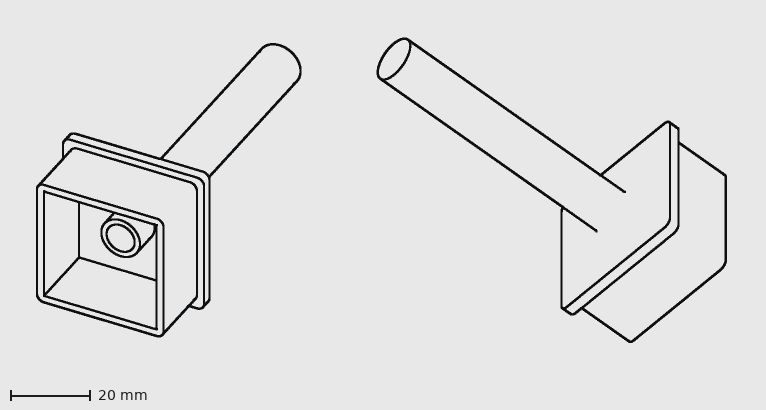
import cadquery as cq

total_length = 97.0
flange_side = 40.0
flange_thickness = 3.0
flange_overhang = 2.0
corner_radius = 2.0
socket_length = 18.0
wall_thickness = 2.0
cavity_depth = 19.0
stem_diameter = 12.0
root_fillet = 2.0
boss_diameter = 11.0
boss_height = 8.0
pin_diameter = 8.0

socket_side = flange_side - 2 * flange_overhang
cavity_side = socket_side - 2 * wall_thickness
flange_back = socket_length + flange_thickness
stem_length = total_length - flange_back
boss_face = cavity_depth - boss_height
pin_length = flange_back - boss_face


def square_block(side, start, length):
    """Square block centred on the Y axis, running from start toward +Y."""
    return cq.Workplane("XZ", origin=(0, start, 0)).rect(side, side).extrude(-length)


def cylinder(diameter, start, length):
    """Cylinder on the Y axis, running from start toward +Y."""
    return cq.Workplane("XZ", origin=(0, start, 0)).circle(diameter / 2).extrude(-length)


def make_root():
    """Concave flare that blends the stem into the back of the flange."""
    stem_radius = stem_diameter / 2
    flare_end = flange_back + root_fillet
    return (
        cq.Workplane("XY")
        .moveTo(0, flange_back)
        .lineTo(stem_radius + root_fillet, flange_back)
        .radiusArc((stem_radius, flare_end), root_fillet)
        .lineTo(0, flare_end)
        .close()
        .revolve(360, (0, 0, 0), (0, 1, 0))
    )


def make_pin():
    """Plain pin, flush with the boss face and ending at the flange back."""
    return cylinder(pin_diameter, boss_face, pin_length)


def make_housing():
    """Square socket with a flange, a stem behind it and a bored boss inside it."""
    socket = square_block(socket_side, 0, socket_length).edges("|Y").fillet(corner_radius)
    flange = square_block(flange_side, socket_length, flange_thickness).edges("|Y").fillet(corner_radius)
    cavity = square_block(cavity_side, 0, cavity_depth)
    boss = cylinder(boss_diameter, boss_face, boss_height)
    stem = cylinder(stem_diameter, flange_back, stem_length)
    pin_hole = cylinder(pin_diameter, boss_face, pin_length)
    body = socket.union(flange).cut(cavity)
    return body.union(boss).union(stem).union(make_root()).cut(pin_hole)


housing = make_housing()
pin = make_pin()
result = cq.Compound.makeCompound([housing.val(), pin.val()])